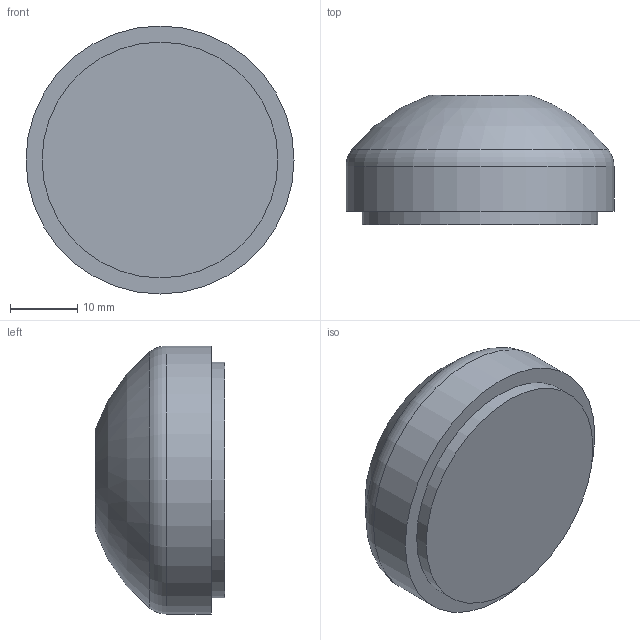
import cadquery as cq
import math

spigot_diameter = 35.2
spigot_length = 2.0
body_diameter = 40.0
body_length = 8.0
dome_rise = 10.5
flat_diameter = 15.0
edge_radius = 4.0

spigot_radius = spigot_diameter / 2
body_radius = body_diameter / 2
flat_radius = flat_diameter / 2

dome_radius = (body_radius**2 + dome_rise**2) / (2 * dome_rise)
dome_edge_y = spigot_length + body_length
dome_center_y = dome_edge_y + dome_rise - dome_radius


def dome_point(radius):
    """Point of the dome profile at the given distance from the axis."""
    return (radius, dome_center_y + math.sqrt(dome_radius**2 - radius**2))


def rounded_edge_points():
    """Start, middle and end of the arc tangent to the cylinder and the dome."""
    center_x = body_radius - edge_radius
    center_rise = math.sqrt((dome_radius - edge_radius)**2 - center_x**2)
    center_y = dome_center_y + center_rise
    end_angle = math.atan2(center_rise, center_x)

    def arc_point(angle):
        return (center_x + edge_radius * math.cos(angle), center_y + edge_radius * math.sin(angle))

    return arc_point(0), arc_point(end_angle / 2), arc_point(end_angle)


def cap_profile():
    """Half section of the cap in the XY plane, closed along the axis."""
    edge_start, edge_middle, edge_end = rounded_edge_points()
    flat_edge = dome_point(flat_radius)
    dome_middle = dome_point((edge_end[0] + flat_radius) / 2)
    return (
        cq.Workplane("XY")
        .lineTo(spigot_radius, 0)
        .lineTo(spigot_radius, spigot_length)
        .lineTo(body_radius, spigot_length)
        .lineTo(*edge_start)
        .threePointArc(edge_middle, edge_end)
        .threePointArc(dome_middle, flat_edge)
        .lineTo(0, flat_edge[1])
        .close()
    )


result = cap_profile().revolve(360, (0, 0, 0), (0, 1, 0))